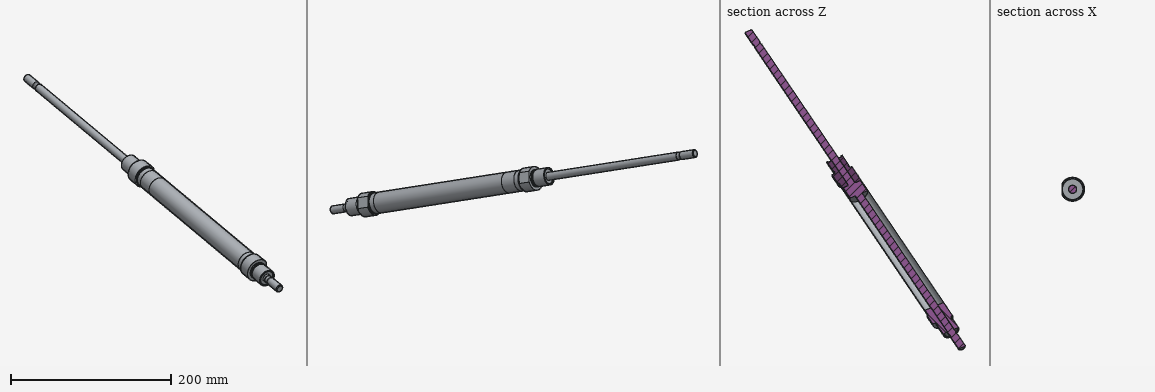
import cadquery as cq

rod_length = 568.0
stroke = 200.0
stub_length = 29.0
cylinder_start = stub_length + stroke
cylinder_length = rod_length - cylinder_start - stub_length

rod_dia = 10.0
tip_chamfer = 1.0
rod_undercut_dia = 9.0
rod_undercut_start = 21.0
rod_undercut_floor = 23.0
rod_undercut_end = 26.5

nose_dia = 22.0
nose_length = 21.0
recess_dia = 19.0
recess_depth = 1.0
nose_undercut_dia = 20.0
nose_undercut_start = 17.0
nose_undercut_floor = 18.0
nose_undercut_end = 19.5
collar_dia = 30.0
collar_length = 16.0
flange_length = 1.5
spigot_length = 7.0
cap_length = nose_length + collar_length + flange_length

tube_dia = 26.5
flat_offset = tube_dia / 2
bore_dia = 25.5
tube_start = cylinder_start + cap_length
tube_length = cylinder_length - 2 * cap_length

piston_start = tube_start + spigot_length
piston_length = tube_length - 2 * spigot_length - stroke


def disc(start, length, dia):
    """Solid cylinder along +X from the given X position."""
    return cq.Workplane("YZ", origin=(start, 0, 0)).circle(dia / 2).extrude(length)


def make_undercut(start, floor_start, end, outer_dia, floor_dia):
    """Ring to cut behind a thread: a ramp down, a floor and a square step up."""
    outer_radius = outer_dia / 2
    floor_radius = floor_dia / 2
    profile = (
        cq.Workplane("XY")
        .moveTo(start, outer_radius)
        .lineTo(floor_start, floor_radius)
        .lineTo(end, floor_radius)
        .lineTo(end, outer_radius)
        .close()
    )
    return profile.revolve(360, (0, 0, 0), (1, 0, 0))


def make_rod():
    """Rod passing through both caps, with the piston on it."""
    rod = disc(0, rod_length, rod_dia).faces("<X or >X").chamfer(tip_chamfer)
    front_undercut = make_undercut(
        rod_undercut_start, rod_undercut_floor, rod_undercut_end, rod_dia, rod_undercut_dia
    )
    rear_undercut = front_undercut.mirror("YZ").translate((rod_length, 0, 0))
    rod = rod.cut(front_undercut).cut(rear_undercut)
    return rod.union(disc(piston_start, piston_length, bore_dia))


def make_tube():
    """Plain thin-walled tube between the two caps."""
    return disc(tube_start, tube_length, tube_dia).cut(disc(tube_start, tube_length, bore_dia))


def make_nose():
    """Threaded nose with its tip at X = 0, recessed in front and undercut behind the thread."""
    nose = disc(0, nose_length, nose_dia).cut(disc(0, recess_depth, recess_dia))
    undercut = make_undercut(
        nose_undercut_start, nose_undercut_floor, nose_undercut_end, nose_dia, nose_undercut_dia
    )
    return nose.cut(undercut)


def make_collar():
    """Collar behind the nose, with a flat on its +Y side."""
    collar = disc(nose_length, collar_length, collar_dia)
    beyond_flat = cq.Workplane("XY").box(
        collar_length, collar_dia, collar_dia, centered=(False, False, True)
    )
    return collar.cut(beyond_flat.translate((nose_length, flat_offset, 0)))


def make_cap():
    """End cap with its nose tip at X = 0 and its spigot towards +X."""
    flange = disc(nose_length + collar_length, flange_length, tube_dia)
    spigot = disc(cap_length, spigot_length, bore_dia)
    cap = make_nose().union(make_collar()).union(flange).union(spigot)
    return cap.cut(disc(0, cap_length + spigot_length, rod_dia))


def make_caps():
    """The two end caps, mirror images of each other."""
    caps = []
    for is_rear in (False, True):
        cap = make_cap().translate((cylinder_start, 0, 0))
        if is_rear:
            middle = cylinder_start + cylinder_length / 2
            cap = cap.mirror("YZ", (middle, 0, 0))
        caps.append(cap.val())
    return caps


rod = make_rod()
tube = make_tube()
end_caps = make_caps()

result = cq.Compound.makeCompound([rod.val(), tube.val(), *end_caps])